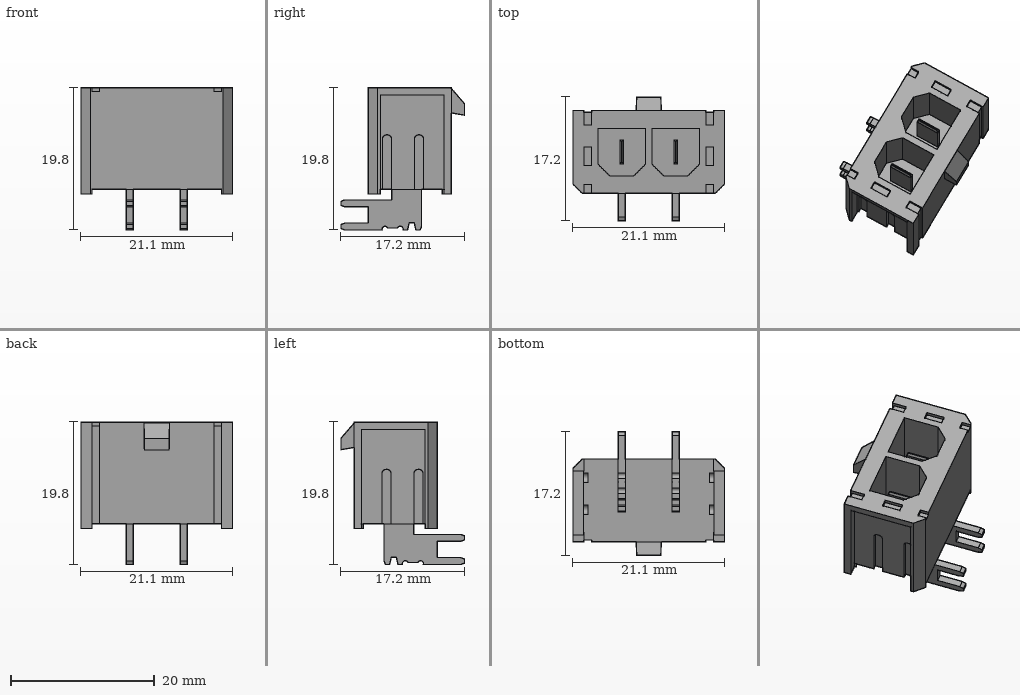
import cadquery as cq


WIDTH = 21.08
DEPTH = 11.55
HEIGHT = 14.8
CORNER_CHAMFER = 1.3
FOOT_HEIGHT = 0.67
FOOT_WIDTH = 1.55
FRONT_FOOT_DEPTH = 1.7
BACK_FOOT_DEPTH = 1.29

RECESS_DEPTH = 1.5
RECESS_TOP_WALL = 1.01
RECESS_FRONT = FRONT_FOOT_DEPTH
RECESS_BACK = 10.56
SLOT_WIDTH = 1.29
SLOT_DEPTH = 0.6
SLOT_TOP = 8.26
SLOT_CENTERS = (2.61, 7.06)

NOTCH_OFFSET = 1.54
NOTCH_WIDTH = 1.05
NOTCH_DEPTH = 0.5
NOTCH_SPANS = ((0.0, 1.22), (3.88, 6.43), (9.5, DEPTH))
BACK_GROOVE_DEPTH = 0.25

PITCH = 7.5
SOCKET_WIDTH = 6.6
SOCKET_FRONT = 2.42
SOCKET_BACK = 9.06
SOCKET_CHAMFER = 1.65
SOCKET_DEPTH = 10.0

LATCH_REACH = 1.85
LATCH_BASE_WIDTH = 3.55
LATCH_TIP_WIDTH = 3.37
LATCH_TOP_DROP = 0.08
LATCH_TIP_TOP_DROP = 2.23
LATCH_BASE_BOTTOM_DROP = 3.52
LATCH_TIP_BOTTOM_DROP = 3.84

PIN_THICKNESS = 1.01
PIN_FRONT = 3.25
PIN_BACK = 7.42
PIN_BOTTOM = -5.0
TINE_TIP = -3.8
TINE_HEIGHT = 1.0
UPPER_TINE_TOP = -0.78
TINE_TAPER_LENGTH = 0.53
TINE_TAPER_DROP = 0.21
HEEL_BEVEL_WIDTH = 0.2
HEEL_BEVEL_HEIGHT = 0.5
PIN_NOTCH_CENTER = 6.05
PIN_NOTCH_TOP_WIDTH = 0.67
PIN_NOTCH_MOUTH_WIDTH = 1.14
PIN_NOTCH_HEIGHT = 1.01
SCALLOP_RADIUS = 0.4
SCALLOP_RISE = 0.13
SCALLOP_CENTERS = (2.35, 4.45)
SCALLOP_STEP = 0.27

BLADE_THICKNESS = 0.53
BLADE_WIDTH = 3.29
BLADE_TIP_DROP = 3.16
BLADE_TIP_HEIGHT = 0.34
BLADE_TIP_THICKNESS = 0.13
BLADE_TIP_WIDTH = 2.87


def block(x_span, y_span, z_span):
    """Box between two limits on each axis."""
    size = [high - low for low, high in (x_span, y_span, z_span)]
    return cq.Workplane("XY").box(*size, centered=False).translate((x_span[0], y_span[0], z_span[0]))


def mirrored_pair(left):
    """A solid at the left end together with its mirror image at the right end."""
    return left.union(left.mirror("YZ"))


def housing_shell():
    shell = block((-WIDTH / 2, WIDTH / 2), (0, DEPTH), (FOOT_HEIGHT, HEIGHT))
    foot_x = (-WIDTH / 2, -WIDTH / 2 + FOOT_WIDTH)
    for foot_y in ((0, FRONT_FOOT_DEPTH), (DEPTH - BACK_FOOT_DEPTH, DEPTH)):
        shell = shell.union(mirrored_pair(block(foot_x, foot_y, (0, HEIGHT))))
    corner = (
        cq.Workplane("XY")
        .moveTo(-WIDTH / 2, 0)
        .lineTo(-WIDTH / 2 + CORNER_CHAMFER, 0)
        .lineTo(-WIDTH / 2, CORNER_CHAMFER)
        .close()
        .extrude(HEIGHT)
    )
    return shell.cut(mirrored_pair(corner))


def end_recess():
    """Left end recess, open at the bottom, with its two slots."""
    floor_x = -WIDTH / 2 + RECESS_DEPTH
    recess = block(
        (-WIDTH / 2, floor_x),
        (RECESS_FRONT, RECESS_BACK),
        (0, HEIGHT - RECESS_TOP_WALL),
    )
    radius = SLOT_WIDTH / 2
    for center in SLOT_CENTERS:
        slot = (
            cq.Workplane("YZ", origin=(floor_x, center, 0))
            .moveTo(-radius, 0)
            .lineTo(-radius, SLOT_TOP - radius)
            .threePointArc((0, SLOT_TOP), (radius, SLOT_TOP - radius))
            .lineTo(radius, 0)
            .close()
            .extrude(SLOT_DEPTH)
        )
        recess = recess.union(slot)
    return recess


def end_notches():
    """Left row of top notches and the groove running down the back face."""
    notch_x = (-WIDTH / 2 + NOTCH_OFFSET, -WIDTH / 2 + NOTCH_OFFSET + NOTCH_WIDTH)
    notches = block(notch_x, (DEPTH - BACK_GROOVE_DEPTH, DEPTH), (0, HEIGHT))
    for span in NOTCH_SPANS:
        notches = notches.union(block(notch_x, span, (HEIGHT - NOTCH_DEPTH, HEIGHT)))
    return notches


def socket(center_x):
    """Socket opening with both front corners cut off for keying."""
    return (
        block(
            (center_x - SOCKET_WIDTH / 2, center_x + SOCKET_WIDTH / 2),
            (SOCKET_FRONT, SOCKET_BACK),
            (HEIGHT - SOCKET_DEPTH, HEIGHT),
        )
        .edges("|Z and <Y")
        .chamfer(SOCKET_CHAMFER)
    )


def latch():
    """Ramp narrowing from the back face to its tip."""
    base_top = HEIGHT - LATCH_TOP_DROP
    base_bottom = HEIGHT - LATCH_BASE_BOTTOM_DROP
    tip_top = HEIGHT - LATCH_TIP_TOP_DROP
    tip_bottom = HEIGHT - LATCH_TIP_BOTTOM_DROP
    tip_y = DEPTH + LATCH_REACH
    side = (
        cq.Workplane("YZ")
        .polyline([(DEPTH, base_top), (tip_y, tip_top), (tip_y, tip_bottom), (DEPTH, base_bottom)])
        .close()
        .extrude(LATCH_BASE_WIDTH / 2, both=True)
    )
    plan = (
        cq.Workplane("XY")
        .polyline([
            (-LATCH_BASE_WIDTH / 2, DEPTH),
            (LATCH_BASE_WIDTH / 2, DEPTH),
            (LATCH_TIP_WIDTH / 2, tip_y),
            (-LATCH_TIP_WIDTH / 2, tip_y),
        ])
        .close()
        .extrude(HEIGHT)
    )
    return side.intersect(plan)


def side_profile(points):
    """Closed YZ outline extruded to the pin thickness about X = 0."""
    return cq.Workplane("YZ").polyline(points).close().extrude(PIN_THICKNESS / 2, both=True)


def tine(top):
    """Solder tine with a tapered tip, rooted in the pin plate."""
    bottom = top - TINE_HEIGHT
    taper_start = TINE_TIP + TINE_TAPER_LENGTH
    return side_profile([
        (PIN_FRONT, top),
        (taper_start, top),
        (TINE_TIP, top - TINE_TAPER_DROP),
        (TINE_TIP, bottom + TINE_TAPER_DROP),
        (taper_start, bottom),
        (PIN_FRONT, bottom),
    ])


def contact_blade():
    """Flat blade with a pointed tip, rooted in the socket floor."""
    shoulder = HEIGHT - BLADE_TIP_DROP - BLADE_TIP_HEIGHT
    center_y = PIN_BACK - BLADE_WIDTH / 2
    shank = block(
        (-BLADE_THICKNESS / 2, BLADE_THICKNESS / 2),
        (PIN_BACK - BLADE_WIDTH, PIN_BACK),
        (FOOT_HEIGHT, shoulder),
    )
    tip = (
        cq.Workplane("XY", origin=(0, center_y, shoulder))
        .rect(BLADE_THICKNESS, BLADE_WIDTH)
        .workplane(offset=BLADE_TIP_HEIGHT)
        .rect(BLADE_TIP_THICKNESS, BLADE_TIP_WIDTH)
        .loft()
    )
    return shank.union(tip)


def forked_pin():
    """Pin plate with two tines, a V-shaped notch and a scalloped relief along its bottom edge."""
    plate = side_profile([
        (PIN_FRONT, FOOT_HEIGHT),
        (PIN_FRONT, UPPER_TINE_TOP),
        (0, UPPER_TINE_TOP),
        (0, PIN_BOTTOM),
        (PIN_BACK - HEEL_BEVEL_WIDTH, PIN_BOTTOM),
        (PIN_BACK, PIN_BOTTOM + HEEL_BEVEL_HEIGHT),
        (PIN_BACK, FOOT_HEIGHT),
    ])
    plate = plate.union(tine(UPPER_TINE_TOP)).union(tine(PIN_BOTTOM + TINE_HEIGHT))
    notch = side_profile([
        (PIN_NOTCH_CENTER - PIN_NOTCH_MOUTH_WIDTH / 2, PIN_BOTTOM),
        (PIN_NOTCH_CENTER + PIN_NOTCH_MOUTH_WIDTH / 2, PIN_BOTTOM),
        (PIN_NOTCH_CENTER + PIN_NOTCH_TOP_WIDTH / 2, PIN_BOTTOM + PIN_NOTCH_HEIGHT),
        (PIN_NOTCH_CENTER - PIN_NOTCH_TOP_WIDTH / 2, PIN_BOTTOM + PIN_NOTCH_HEIGHT),
    ])
    relief = block(
        (-PIN_THICKNESS / 2, PIN_THICKNESS / 2),
        SCALLOP_CENTERS,
        (PIN_BOTTOM, PIN_BOTTOM + SCALLOP_STEP),
    )
    scallops = (
        cq.Workplane("YZ")
        .pushPoints([(y, PIN_BOTTOM + SCALLOP_RISE) for y in SCALLOP_CENTERS])
        .circle(SCALLOP_RADIUS)
        .extrude(PIN_THICKNESS / 2, both=True)
    )
    return plate.cut(notch).cut(relief).cut(scallops).union(contact_blade())


result = housing_shell()
result = result.cut(mirrored_pair(end_recess()))
result = result.cut(mirrored_pair(end_notches()))
result = result.union(latch())
pin = forked_pin()
for center_x in (-PITCH / 2, PITCH / 2):
    result = result.cut(socket(center_x))
    result = result.union(pin.translate((center_x, 0, 0)))